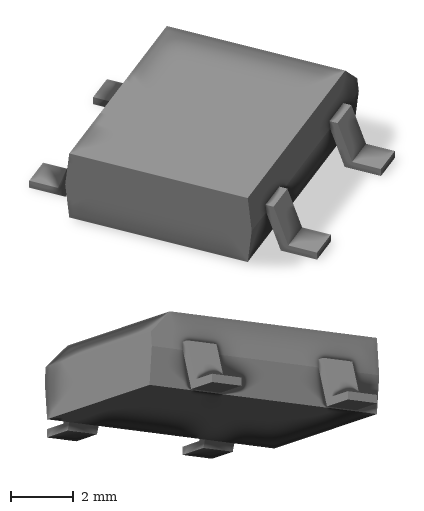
import cadquery as cq

body_length = 8.51
waist_width = 6.48
face_width = 6.2
body_height = 2.48
standoff = 0.12
edge_chamfer = 0.76

lead_span = 10.0
lead_width = 1.1
lead_pitch = 5.08
lead_thickness = 0.27
foot_length = 1.0
shank_run = 0.51
shoulder_top = 1.63
heel_offset = 0.26
lead_embed = 0.2


def make_body():
    waist_z = standoff + body_height / 2
    top_z = standoff + body_height
    half_face = face_width / 2
    half_waist = waist_width / 2
    body = (
        cq.Workplane("XZ")
        .polyline([
            (-half_face, standoff),
            (half_face, standoff),
            (half_waist, waist_z),
            (half_face, top_z),
            (-half_face, top_z),
            (-half_waist, waist_z),
        ])
        .close()
        .extrude(body_length / 2, both=True)
    )
    back_y = body_length / 2
    chamfer_cut = (
        cq.Workplane("YZ")
        .polyline([
            (back_y - edge_chamfer, top_z),
            (back_y, top_z),
            (back_y, top_z - edge_chamfer),
        ])
        .close()
        .extrude(waist_width / 2, both=True)
    )
    return body.cut(chamfer_cut)


def make_lead(side, y):
    """Lead on the +X (side = 1) or -X (side = -1) flank, centred at y."""
    toe = lead_span / 2
    upper_bend = toe - foot_length
    lower_bend = upper_bend - heel_offset
    inner_end = waist_width / 2 - lead_embed
    shoulder_bottom = shoulder_top - lead_thickness
    outline = [
        (toe, 0),
        (toe, lead_thickness),
        (upper_bend, lead_thickness),
        (upper_bend - shank_run, shoulder_top),
        (inner_end, shoulder_top),
        (inner_end, shoulder_bottom),
        (lower_bend - shank_run, shoulder_bottom),
        (lower_bend, 0),
    ]
    return (
        cq.Workplane("XZ")
        .polyline([(side * x, z) for x, z in outline])
        .close()
        .extrude(lead_width / 2, both=True)
        .translate((0, y, 0))
    )


result = make_body()
for side in (-1, 1):
    for y in (-lead_pitch / 2, lead_pitch / 2):
        result = result.union(make_lead(side, y))